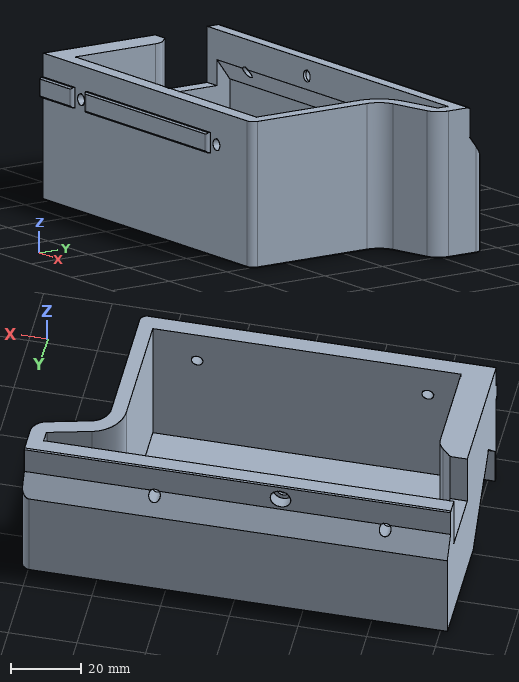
import cadquery as cq
import math

length = 124.1
depth = 65.9
height = 43.0
wall = 4.5
front_wall = 4.8
left_wall = 5.0
end_wall = 4.7
floor = 2.4

main_length = 103.4
spout_angle = 14.0
spout_corner_y = 50.0
front_corner_radius = 2.1
back_corner_radius = 2.4
inside_bend_radius = 6.0
spout_tip_radius = 5.0

step = 4.5
step_top = 34.1
step_bottom = 27.9
edge_chamfer = 0.4

thick_wall = 9.2
thick_corner_radius = 5.0
notch_front = 39.0
notch_floor = 26.5
recess_depth = 5.6
recess_front = 1.6
recess_back = 30.8
recess_height = 20.0
recess_shoulder = 11.7

hole_diameter = 3.4
first_hole_x = 18.9
hole_pitch = 67.1
hole_z = 33.0
upper_hole_x = 49.5
upper_hole_z = 38.1
counterbore_diameter = 6.0
upper_hole_lip = 0.9
strip_gap = 3.0
strip_height = 6.0
strip_thickness = 1.1
strip_chamfer = 0.5
strip_end_radius = 1.0

back_upper = depth - step
slope = math.tan(math.radians(spout_angle))
bend_y = spout_corner_y - (length - main_length) * slope


def fillet_at(body, x, y, radius):
    """Round the upright edge that stands at (x, y)."""
    near = 0.06
    low = (x - near, y - near, -1.2)
    high = (x + near, y + near, height + 1.2)
    return body.edges(cq.selectors.BoxSelector(low, high, boundingbox=True)).fillet(radius)


def back_trim(back_y, upper_y):
    """Upright bar behind the stepped back profile with the given lower and upper faces."""
    outside = depth + 1.2
    points = [
        (outside, -1.2),
        (back_y, -1.2),
        (back_y, step_bottom),
        (upper_y, step_top),
        (upper_y, height + 1.2),
        (outside, height + 1.2),
    ]
    return cq.Workplane("YZ").polyline(points).close().extrude(length + 2.5).translate((-1.2, 0, 0))


def outer_block():
    outline = [
        (0, 0),
        (main_length, 0),
        (main_length, bend_y),
        (length, spout_corner_y),
        (length, depth),
        (0, depth),
    ]
    body = cq.Workplane("XY").polyline(outline).close().extrude(height)
    body = fillet_at(body, main_length, 0, front_corner_radius)
    body = fillet_at(body, main_length, bend_y, inside_bend_radius)
    body = fillet_at(body, length, spout_corner_y, spout_tip_radius)
    body = fillet_at(body, length, depth, back_corner_radius)
    body = body.faces("<Z").edges("not(<X)").chamfer(edge_chamfer)
    body = body.cut(back_trim(depth, back_upper))
    return body.faces(">Z").edges(">Y").chamfer(edge_chamfer)


def cavity():
    right = main_length - wall
    end = length - end_wall
    lift = wall / math.cos(math.radians(spout_angle))
    inner_bend_y = bend_y - wall * slope + lift
    inner_end_y = spout_corner_y - end_wall * slope + lift
    thick_back = notch_front - (thick_wall - left_wall)
    outline = [
        (thick_wall, front_wall),
        (right, front_wall),
        (right, inner_bend_y),
        (end, inner_end_y),
        (end, depth),
        (left_wall, depth),
        (left_wall, notch_front),
        (thick_wall, thick_back),
    ]
    body = cq.Workplane("XY").polyline(outline).close().extrude(height)
    body = fillet_at(body, right, inner_bend_y, inside_bend_radius + wall)
    body = fillet_at(body, end, inner_end_y, spout_tip_radius - wall)
    body = fillet_at(body, thick_wall, thick_back, thick_corner_radius)
    body = body.translate((0, 0, floor))
    return body.cut(back_trim(depth - wall, back_upper - wall))


def rim_notch():
    width = back_upper - wall - notch_front
    return cq.Workplane("XY").box(left_wall + 1.2, width, height, centered=False).translate(
        (-1.2, notch_front, notch_floor))


def side_recess():
    points = [
        (recess_front, 0),
        (recess_back, 0),
        (recess_back - recess_height, recess_height),
        (recess_front + recess_height - recess_shoulder, recess_height),
        (recess_front, recess_shoulder),
    ]
    return cq.Workplane("YZ").polyline(points).close().extrude(recess_depth)


def hole(diameter, x, z, start_y, end_y):
    return cq.Workplane("XZ", origin=(x, start_y, z)).circle(diameter / 2).extrude(start_y - end_y)


def strip(start_x, end_x, rounded_ends):
    """Raised strip with bevelled long sides and the chosen ends rounded."""
    def block():
        body = cq.Workplane("XY").box(end_x - start_x, strip_thickness, strip_height, centered=False)
        return body.translate((start_x, -strip_thickness, hole_z - strip_height / 2))

    bevelled = block().faces("<Y").edges("<Z or >Z").chamfer(strip_chamfer)
    rounded = block().faces("<Y").edges(rounded_ends).fillet(strip_end_radius)
    return bevelled.intersect(rounded)


def make_housing():
    body = outer_block().cut(cavity()).cut(rim_notch()).cut(side_recess())
    second_hole_x = first_hole_x + hole_pitch
    body = body.union(strip(0, first_hole_x - strip_gap, ">X"))
    body = body.union(strip(first_hole_x + strip_gap, second_hole_x - strip_gap, "<X or >X"))
    for x in (first_hole_x, second_hole_x):
        body = body.cut(hole(hole_diameter, x, hole_z, 0, depth))
    lip_y = back_upper - wall + upper_hole_lip
    body = body.cut(hole(hole_diameter, upper_hole_x, upper_hole_z, depth / 2, depth))
    return body.cut(hole(counterbore_diameter, upper_hole_x, upper_hole_z, lip_y, depth))


housing = make_housing()
result = cq.Compound.makeCompound([housing.val()])